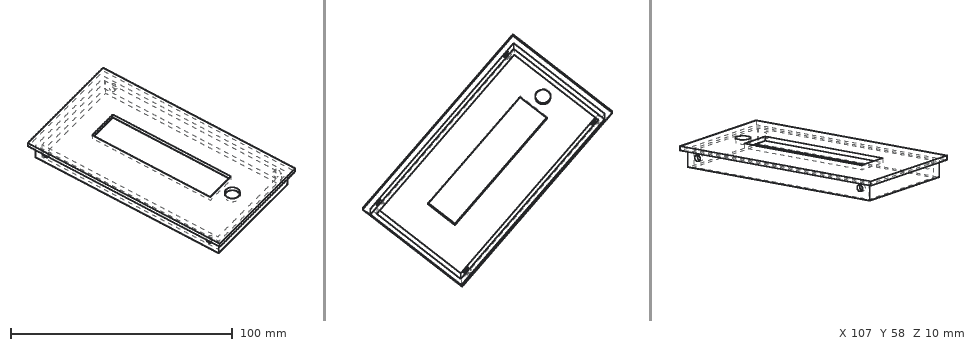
import cadquery as cq

plate_length = 107.0
plate_width = 58.0
plate_thickness = 2.0
total_height = 10.0

wall = 2.0
skirt_length = 102.0
skirt_width = 53.0
skirt_height = total_height - plate_thickness

window_length = 65.7
window_width = 15.8
button_diameter = 7.0
button_x = 39.5

screw_diameter = 3.0
screw_x = 45.5
screw_z = 5.0


def centred_block(length, width, height, bottom=0):
    """Box centred in X and Y, standing on the given Z level."""
    return cq.Workplane("XY").workplane(offset=bottom).rect(length, width).extrude(height)


plate = centred_block(plate_length, plate_width, plate_thickness, skirt_height)
skirt = centred_block(skirt_length, skirt_width, skirt_height)
cavity = centred_block(skirt_length - 2 * wall, skirt_width - 2 * wall, skirt_height)

window = centred_block(window_length, window_width, total_height)
button_hole = (
    cq.Workplane("XY")
    .center(button_x, 0)
    .circle(button_diameter / 2)
    .extrude(total_height)
)
screw_holes = (
    cq.Workplane("XZ")
    .pushPoints([(-screw_x, screw_z), (screw_x, screw_z)])
    .circle(screw_diameter / 2)
    .extrude(plate_width / 2, both=True)
)

result = skirt.cut(cavity).union(plate).cut(window).cut(button_hole).cut(screw_holes)